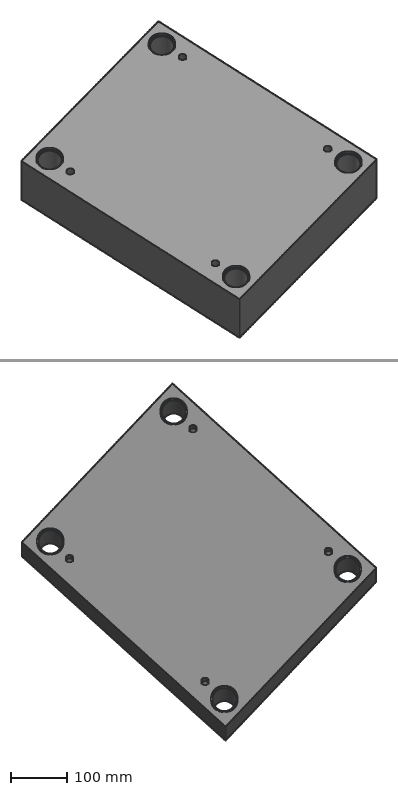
import cadquery as cq
import math

length = 495.5
width = 395.5
height = 116.0

guide_diameter = 42.0
guide_recess_diameter = 48.0
guide_recess_depth = 6.0
guide_spacing_x = 423.5
guide_spacing_y = 323.5

screw_diameter = 14.0
screw_depth = 29.5
screw_spacing_x = 329.5
screw_spacing_y = guide_spacing_y
drill_point_angle = 118


def top_pattern(body, spacing_x, spacing_y):
    """Select four hole centres on the top face, symmetric about the plate centre."""
    return body.faces(">Z").workplane(origin=(0, 0, height)).rarray(spacing_x, spacing_y, 2, 2)


def cut_guide_holes(body):
    pattern = top_pattern(body, guide_spacing_x, guide_spacing_y)
    return pattern.cboreHole(guide_diameter, guide_recess_diameter, guide_recess_depth)


def cut_screw_holes(body):
    """Revolve the drill profile about its axis and cut it at every hole centre."""
    radius = screw_diameter / 2
    point_depth = radius / math.tan(math.radians(drill_point_angle / 2))
    profile = [(0, 0), (radius, 0), (radius, -screw_depth), (0, -screw_depth - point_depth)]
    drill = cq.Workplane("XZ").polyline(profile).close().revolve(360, (0, 0), (0, 1)).val()
    pattern = top_pattern(body, screw_spacing_x, screw_spacing_y)
    return pattern.cutEach(lambda location: drill.moved(location))


plate = cq.Workplane("XY").box(length, width, height, centered=(True, True, False))
result = cut_screw_holes(cut_guide_holes(plate))